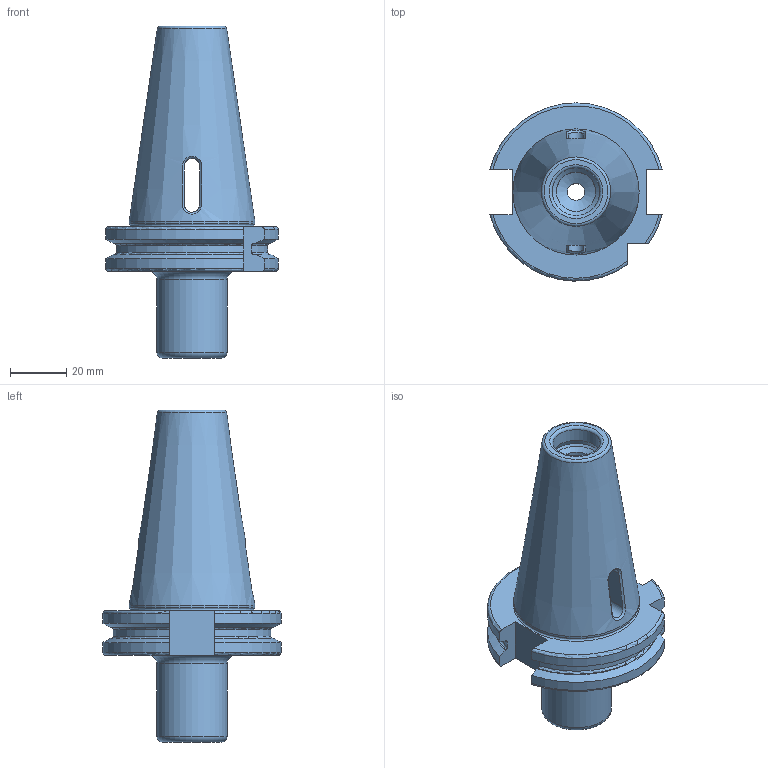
import cadquery as cq
import math

gauge_radius = 44.45 / 2
taper_per_length = 7 / 24
cone_top = 68.4
cone_edge_round = 1.0
cone_bottom = -1.3
collar_bottom = -2.1
relief_root_radius = 22.65
relief_depth = 0.4

flange_radius = 63.55 / 2
flange_top = -3.2
flange_bottom = -19.1
flange_edge_round = 1.0
groove_centre = -11.1
groove_floor_radius = 56.25 / 2
groove_mouth_half_width = 3.45
groove_flank_angle = 30.0
groove_floor_half_width = 1.95
groove_floor_round = 0.75

shank_radius = 25.0 / 2
shank_bottom = -50.0
shank_end_round = 2.0
shank_root_round = 3.0

key_slot_width = 16.1
key_slot_floor_left = 22.8
key_slot_floor_right = 25.0
corner_notch_offset = 18.5

pilot_radius = 8.5
mouth_round = 1.1
pilot_depth = 5.8
undercut_radius = 9.1
undercut_ridge_depth = 7.6
undercut_end_depth = 8.4
thread_radius = 7.0
thread_depth = 32.0
through_radius = 3.1
drill_point_angle = 118.0

drift_slot_width = 5.4
drift_slot_top = 21.2
drift_slot_bottom = 2.0
drift_slot_chamfer = 0.7


def cone_radius(z):
    return gauge_radius - z * taper_per_length / 2


def revolve_about_z(outline):
    return outline.close().revolve(360, (0, 0, 0), (0, 1, 0))


def corner_box(x_range, y_range, z_range):
    size = [high - low for low, high in (x_range, y_range, z_range)]
    origin = (x_range[0], y_range[0], z_range[0])
    return cq.Workplane("XY").box(*size, centered=False).translate(origin)


def make_cone():
    collar_radius = cone_radius(cone_bottom)
    relief_centre = (flange_top + collar_bottom) / 2
    outline = (
        cq.Workplane("XZ")
        .moveTo(0, groove_centre)
        .lineTo(relief_root_radius, groove_centre)
        .lineTo(relief_root_radius, flange_top)
        .threePointArc((collar_radius - relief_depth, relief_centre), (collar_radius, collar_bottom))
        .lineTo(collar_radius, cone_bottom)
        .lineTo(cone_radius(cone_top), cone_top)
        .lineTo(0, cone_top)
    )
    return revolve_about_z(outline).faces(">Z").edges().fillet(cone_edge_round)


def make_flange():
    height = flange_top - flange_bottom
    disc = cq.Workplane("XY").workplane(offset=flange_bottom).circle(flange_radius).extrude(height)
    disc = disc.edges().fillet(flange_edge_round)
    return disc.cut(make_groove())


def make_groove():
    flank_rise = groove_mouth_half_width - groove_floor_half_width
    flank_radius = flange_radius - flank_rise / math.tan(math.radians(groove_flank_angle))
    floor_low = groove_centre - groove_floor_half_width
    floor_high = groove_centre + groove_floor_half_width
    outline = (
        cq.Workplane("XZ")
        .moveTo(groove_floor_radius, floor_low)
        .lineTo(flank_radius, floor_low)
        .lineTo(flange_radius, groove_centre - groove_mouth_half_width)
        .lineTo(flange_radius, groove_centre + groove_mouth_half_width)
        .lineTo(flank_radius, floor_high)
        .lineTo(groove_floor_radius, floor_high)
    )
    floor_edges = cq.selectors.RadiusNthSelector(0)
    return revolve_about_z(outline).edges(floor_edges).fillet(groove_floor_round)


def make_shank():
    height = flange_bottom - shank_bottom
    shank = cq.Workplane("XY").workplane(offset=shank_bottom).circle(shank_radius).extrude(height)
    shank = shank.faces("<Z").edges().fillet(shank_end_round)
    root_radius = shank_radius + shank_root_round
    root_bottom = flange_bottom - shank_root_round
    mid_offset = shank_root_round * math.sqrt(0.5)
    root = (
        cq.Workplane("XZ")
        .moveTo(0, flange_bottom)
        .lineTo(root_radius, flange_bottom)
        .threePointArc((root_radius - mid_offset, root_bottom + mid_offset), (shank_radius, root_bottom))
        .lineTo(0, root_bottom)
    )
    return shank.union(revolve_about_z(root))


def make_flange_cutouts():
    z_range = (flange_bottom, flange_top)
    slot_range = (-key_slot_width / 2, key_slot_width / 2)
    left_slot = corner_box((-flange_radius, -key_slot_floor_left), slot_range, z_range)
    right_slot = corner_box((key_slot_floor_right, flange_radius), slot_range, z_range)
    notch = corner_box(
        (corner_notch_offset, flange_radius),
        (-flange_radius, -corner_notch_offset),
        z_range,
    )
    return left_slot.union(right_slot).union(notch)


def make_bore():
    mouth_radius = pilot_radius + mouth_round
    mid_offset = mouth_round * math.sqrt(0.5)
    undercut_end = cone_top - undercut_end_depth
    step_chamfer = pilot_radius - thread_radius
    thread_bottom = cone_top - thread_depth
    point_depth = (thread_radius - through_radius) / math.tan(math.radians(drill_point_angle / 2))
    outline = (
        cq.Workplane("XZ")
        .moveTo(0, cone_top)
        .lineTo(mouth_radius, cone_top)
        .threePointArc(
            (mouth_radius - mid_offset, cone_top - mouth_round + mid_offset),
            (pilot_radius, cone_top - mouth_round),
        )
        .lineTo(pilot_radius, cone_top - pilot_depth)
        .lineTo(undercut_radius, cone_top - undercut_ridge_depth)
        .lineTo(pilot_radius, undercut_end)
        .lineTo(thread_radius, undercut_end - step_chamfer)
        .lineTo(thread_radius, thread_bottom)
        .lineTo(through_radius, thread_bottom - point_depth)
        .lineTo(through_radius, shank_bottom)
        .lineTo(0, shank_bottom)
    )
    return revolve_about_z(outline)


def cut_drift_slot(body):
    length = drift_slot_top - drift_slot_bottom
    slot = (
        cq.Workplane("XZ")
        .center(0, (drift_slot_top + drift_slot_bottom) / 2)
        .slot2D(length, drift_slot_width, 90)
        .extrude(flange_radius, both=True)
    )
    return body.cut(slot).edges(drift_slot_rims()).chamfer(drift_slot_chamfer)


def drift_slot_rims():
    inner = cone_radius(drift_slot_top) / 2
    side = drift_slot_width
    front = cq.selectors.BoxSelector(
        (-side, -gauge_radius, drift_slot_bottom),
        (side, -inner, drift_slot_top),
    )
    back = cq.selectors.BoxSelector(
        (-side, inner, drift_slot_bottom),
        (side, gauge_radius, drift_slot_top),
    )
    return front + back


body = make_cone().union(make_flange()).union(make_shank())
body = body.cut(make_flange_cutouts())
body = cut_drift_slot(body)
result = body.cut(make_bore())